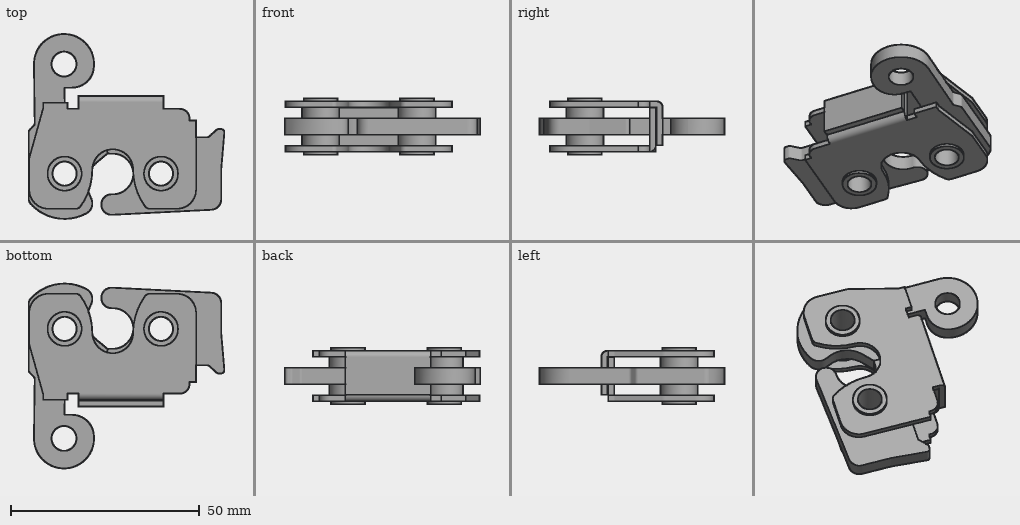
import cadquery as cq
import math


OVERALL_LENGTH = 51.85

PIVOT_SPACING = 25.5
RIVET_XS = (0, PIVOT_SPACING)
RIVET_LENGTH = 15.0
RIVET_BORE_RADIUS = 3.15
RIVET_END_RADIUS = 4.5
RIVET_BARREL_RADIUS = 5.0

SHEET = 1.6
PLATE_GAP = 10.15
PLATE_LEFT = -9.35
PLATE_RIGHT = 34.8
PLATE_BOTTOM = -9.3
PLATE_TOP = 17.15
PLATE_CORNER_RADIUS = 5.0
STEP_LEFT = -5.7
STEP_RIGHT = 0.8
STEP_TOP = PLATE_TOP + SHEET
SLANT_BOTTOM = 4.15
SLANT_RADIUS = 2.6
SHOULDER_X = 33.05
SHOULDER_Y = 14.1
SHOULDER_RADIUS = 2.6
TAB_LEFT = 3.65
TAB_RIGHT = 26.2
TAB_END_GAP = 0.1
TAB_CLEARANCE = 0.2
OUTER_TAB_Y = STEP_TOP + TAB_CLEARANCE
MOUTH_X = PIVOT_SPACING / 2
MOUTH_Y = 1.05
MOUTH_RADIUS = 5.4
MOUTH_FLARE_RADIUS = 16.6
MOUTH_EDGE_RADIUS = 1.55

ARM_THICKNESS = 4.4
SEAM_X = 11.3
ARM_TOP = 9.65

EYE_X = -0.15
EYE_Y = 28.95
EYE_RADIUS = 8.0
EYE_HOLE_RADIUS = 3.25
NECK_LEFT_TOP = EYE_X - EYE_RADIUS
NECK_RIGHT_TOP = 0
NECK_DRIFT = 0.2
NECK_TOP = 22.7
NECK_FOOT = 12.9
NECK_CORNER_RADIUS = 0.2
EYE_BLEND_RADIUS = 5.8
LEVER_LEFT = -9.55
LEVER_SHOULDER_Y = 11.3
LEVER_SHOULDER_RADIUS = 1.05
LEVER_SWEEP_RADIUS = 12.0
LEVER_CORNER_RADIUS = 2.05
LEVER_TOE_X = 8.1
LEVER_TOE_RADIUS = 3.0
LEVER_THROAT = (4.4, -0.45)
LEVER_THROAT_RADIUS = 7.1
NOSE_BOTTOM = 5.25

JAW_X = 12.8
JAW_Y = -0.1
JAW_RADIUS = 5.35
JAW_LIP_RADIUS = 0.5
HOOK_X = 12.45
HOOK_RADIUS = 2.75
HOOK_ANGLE = math.radians(2.9)
CLAW_RIGHT = 41.45
CLAW_CORNER_RADIUS = 2.85
HORN_LEFT = 40.45
HORN_LEAN = math.radians(4.9)
HORN_TOP = 11.8
HORN_RADIUS = 0.95
HORN_FOOT_X = 38.05


def round_corner(body, corner, radius):
    """Round the upright edge nearest to the given corner of a flat body."""
    selector = cq.NearestToPointSelector((corner[0], corner[1], 0))
    return body.edges("|Z").edges(selector).fillet(radius)


def extrude_centred(outline, thickness):
    """Extrude a closed outline evenly to both sides of the middle plane."""
    return outline.close().extrude(thickness / 2, both=True)


def upright_cylinder(x, y, radius, height):
    """A cylinder along Z, centred on the middle plane."""
    return cq.Workplane("XY").center(x, y).circle(radius).extrude(height / 2, both=True)


def make_rivet(x):
    """A hollow rivet with a wider barrel that spaces the plates apart."""
    ends = upright_cylinder(x, 0, RIVET_END_RADIUS, RIVET_LENGTH)
    barrel = upright_cylinder(x, 0, RIVET_BARREL_RADIUS, PLATE_GAP)
    bore = upright_cylinder(x, 0, RIVET_BORE_RADIUS, RIVET_LENGTH)
    return ends.union(barrel).cut(bore)


def make_flat_plate():
    """The flat part of a side plate, with its flared mouth and rivet holes."""
    flare_drop = MOUTH_Y - PLATE_BOTTOM
    flare_angle = math.asin(flare_drop / MOUTH_FLARE_RADIUS)
    flare_spread = MOUTH_FLARE_RADIUS * (1 - math.cos(flare_angle))
    flare_mid_drop = MOUTH_FLARE_RADIUS * math.sin(flare_angle / 2)
    flare_mid_spread = MOUTH_FLARE_RADIUS * (1 - math.cos(flare_angle / 2))
    left_wall = MOUTH_X - MOUTH_RADIUS
    right_wall = MOUTH_X + MOUTH_RADIUS
    left_foot = (left_wall - flare_spread, PLATE_BOTTOM)
    right_foot = (right_wall + flare_spread, PLATE_BOTTOM)

    outline = (
        cq.Workplane("XY")
        .moveTo(PLATE_LEFT, PLATE_BOTTOM)
        .lineTo(*left_foot)
        .threePointArc((left_wall - flare_mid_spread, MOUTH_Y - flare_mid_drop), (left_wall, MOUTH_Y))
        .threePointArc((MOUTH_X, MOUTH_Y + MOUTH_RADIUS), (right_wall, MOUTH_Y))
        .threePointArc((right_wall + flare_mid_spread, MOUTH_Y - flare_mid_drop), right_foot)
        .lineTo(PLATE_RIGHT, PLATE_BOTTOM)
        .lineTo(PLATE_RIGHT, SHOULDER_Y)
        .lineTo(SHOULDER_X, SHOULDER_Y)
        .lineTo(SHOULDER_X, PLATE_TOP)
        .lineTo(STEP_RIGHT, PLATE_TOP)
        .lineTo(STEP_RIGHT, STEP_TOP)
        .lineTo(STEP_LEFT, STEP_TOP)
        .lineTo(STEP_LEFT, PLATE_TOP)
        .lineTo(PLATE_LEFT, SLANT_BOTTOM)
    )
    plate = extrude_centred(outline, SHEET)
    plate = round_corner(plate, (PLATE_LEFT, PLATE_BOTTOM), PLATE_CORNER_RADIUS)
    plate = round_corner(plate, (PLATE_RIGHT, PLATE_BOTTOM), PLATE_CORNER_RADIUS)
    plate = round_corner(plate, (PLATE_LEFT, SLANT_BOTTOM), SLANT_RADIUS)
    plate = round_corner(plate, (SHOULDER_X, PLATE_TOP), SHOULDER_RADIUS)
    for foot in (left_foot, right_foot):
        plate = round_corner(plate, foot, MOUTH_EDGE_RADIUS)
    for x in RIVET_XS:
        plate = plate.cut(upright_cylinder(x, 0, RIVET_END_RADIUS, SHEET))
    return plate


def make_upper_plate(tab_face_y):
    """A side plate above the middle plane, its tab bent down with its inner face at tab_face_y."""
    plate_bottom = PLATE_GAP / 2
    plate_top = plate_bottom + SHEET
    tab_end = TAB_END_GAP - plate_bottom
    tab_back = tab_face_y + SHEET
    tab_root = PLATE_TOP - SHEET
    tab = (
        cq.Workplane("YZ", origin=(TAB_LEFT, 0, 0))
        .moveTo(tab_root, plate_bottom)
        .lineTo(tab_face_y, plate_bottom)
        .lineTo(tab_face_y, tab_end)
        .lineTo(tab_back, tab_end)
        .lineTo(tab_back, plate_bottom)
        .radiusArc((tab_face_y, plate_top), -SHEET)
        .lineTo(tab_root, plate_top)
        .close()
        .extrude(TAB_RIGHT - TAB_LEFT)
    )
    return make_flat_plate().translate((0, 0, plate_bottom + SHEET / 2)).union(tab)


def make_top_plate():
    """The top plate, whose tab passes outside the other one."""
    return make_upper_plate(OUTER_TAB_Y)


def make_bottom_plate():
    """The bottom plate, whose tab stands directly on its upper edge."""
    return make_upper_plate(PLATE_TOP).mirror("XY")


def make_lever():
    """The lever: an eye, a neck and a foot that swings about its rivet."""
    corner_y = -math.sqrt(LEVER_SWEEP_RADIUS**2 - LEVER_LEFT**2)
    toe = (LEVER_TOE_X, -math.sqrt(LEVER_SWEEP_RADIUS**2 - LEVER_TOE_X**2))
    neck_foot = (NECK_LEFT_TOP + NECK_DRIFT, NECK_FOOT)
    shoulder = (LEVER_LEFT, LEVER_SHOULDER_Y)
    neck_corner = (NECK_RIGHT_TOP, NECK_TOP)
    eye_end_x = EYE_X + math.sqrt(EYE_RADIUS**2 - (EYE_Y - NECK_TOP) ** 2)

    outline = (
        cq.Workplane("XY")
        .moveTo(NECK_LEFT_TOP, EYE_Y)
        .lineTo(*neck_foot)
        .lineTo(*shoulder)
        .lineTo(LEVER_LEFT, corner_y)
        .threePointArc((0, -LEVER_SWEEP_RADIUS), toe)
        .lineTo(*LEVER_THROAT)
        .lineTo(SEAM_X, NOSE_BOTTOM)
        .lineTo(SEAM_X, ARM_TOP)
        .lineTo(NECK_RIGHT_TOP + NECK_DRIFT, ARM_TOP)
        .lineTo(*neck_corner)
        .lineTo(eye_end_x, NECK_TOP)
        .threePointArc((EYE_X, EYE_Y + EYE_RADIUS), (NECK_LEFT_TOP, EYE_Y))
    )
    lever = extrude_centred(outline, ARM_THICKNESS)
    lever = round_corner(lever, neck_foot, LEVER_SHOULDER_RADIUS)
    lever = round_corner(lever, shoulder, LEVER_SHOULDER_RADIUS)
    lever = round_corner(lever, (LEVER_LEFT, corner_y), LEVER_CORNER_RADIUS)
    lever = round_corner(lever, toe, LEVER_TOE_RADIUS)
    lever = round_corner(lever, LEVER_THROAT, LEVER_THROAT_RADIUS)
    lever = round_corner(lever, neck_corner, NECK_CORNER_RADIUS)
    lever = round_corner(lever, (eye_end_x, NECK_TOP), EYE_BLEND_RADIUS)

    eye_hole = upright_cylinder(EYE_X, EYE_Y, EYE_HOLE_RADIUS, ARM_THICKNESS)
    rivet_hole = upright_cylinder(0, 0, RIVET_BARREL_RADIUS, ARM_THICKNESS)
    return lever.cut(eye_hole).cut(rivet_hole)


def make_claw():
    """The claw: a round jaw closed below by a hook, and a horn at the far end."""
    jaw_top = JAW_Y + JAW_RADIUS
    jaw_bottom = JAW_Y - JAW_RADIUS
    hook_y = jaw_bottom - HOOK_RADIUS
    hook_end_x = HOOK_X + HOOK_RADIUS * math.sin(HOOK_ANGLE)
    hook_end_y = hook_y - HOOK_RADIUS * math.cos(HOOK_ANGLE)
    corner_y = hook_end_y + (CLAW_RIGHT - hook_end_x) * math.tan(HOOK_ANGLE)
    corner = (CLAW_RIGHT, corner_y)
    jaw_lip = (SEAM_X, jaw_top)
    rounding_loss = HORN_RADIUS * (math.tan(HORN_LEAN) + 1 / math.cos(HORN_LEAN) - 1)
    horn_right = LEVER_LEFT + OVERALL_LENGTH + rounding_loss
    flank_foot_y = HORN_TOP - (horn_right - CLAW_RIGHT) / math.tan(HORN_LEAN)
    horn_corners = ((horn_right, HORN_TOP), (HORN_LEFT, HORN_TOP), (HORN_FOOT_X, ARM_TOP))

    outline = (
        cq.Workplane("XY")
        .moveTo(*jaw_lip)
        .lineTo(JAW_X, jaw_top)
        .threePointArc((JAW_X + JAW_RADIUS, JAW_Y), (JAW_X, jaw_bottom))
        .lineTo(HOOK_X, jaw_bottom)
        .threePointArc((HOOK_X - HOOK_RADIUS, hook_y), (hook_end_x, hook_end_y))
        .lineTo(*corner)
        .lineTo(CLAW_RIGHT, flank_foot_y)
        .polyline(horn_corners, includeCurrent=True)
        .lineTo(SEAM_X, ARM_TOP)
    )
    claw = extrude_centred(outline, ARM_THICKNESS)
    claw = round_corner(claw, jaw_lip, JAW_LIP_RADIUS)
    claw = round_corner(claw, corner, CLAW_CORNER_RADIUS)
    for horn_corner in horn_corners:
        claw = round_corner(claw, horn_corner, HORN_RADIUS)
    return claw.cut(upright_cylinder(PIVOT_SPACING, 0, RIVET_BARREL_RADIUS, ARM_THICKNESS))


top_plate = make_top_plate()
bottom_plate = make_bottom_plate()
lever = make_lever()
claw = make_claw()
rivets = [make_rivet(x) for x in RIVET_XS]

result = cq.Compound.makeCompound(
    [
        top_plate.solids().val(),
        bottom_plate.solids().val(),
        lever.solids().val(),
        claw.solids().val(),
        *[rivet.solids().val() for rivet in rivets],
    ]
)